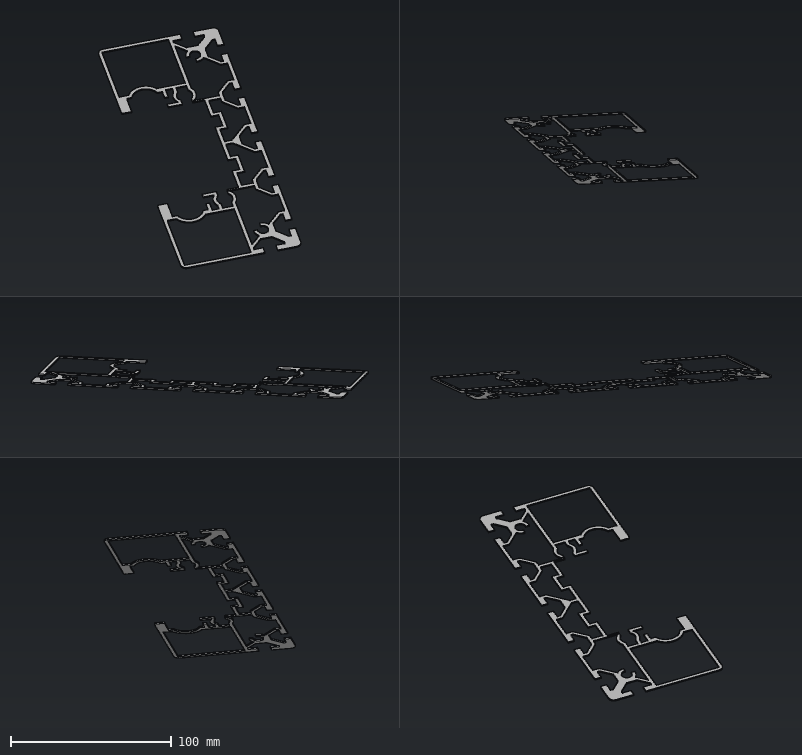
import cadquery as cq


width = 200.0
height = 78.0
thickness = 1.0
side = width / 2
corner_radius = 3.5

slot_pitch = 40.0
slot_opening = 8.2
slot_inner_width = 20.0
lip_depth = 4.5
slot_shoulder_depth = 6.0
slot_floor_depth = 12.5

rib_width = 15.0
rib_groove_width = 10.0
wall = (rib_width - rib_groove_width) / 2
rib_top_depth = 17.5
shelf_depth = 22.5
rib_x = slot_pitch / 2

hollow_shoulder_offset = slot_inner_width / 2 + wall
hollow_shoulder_depth = 6.8
hollow_floor_depth = slot_floor_depth + wall
diagonal_reach = hollow_shoulder_offset + hollow_shoulder_depth

corner_slot_x = 2 * slot_pitch
hook_depth = side - corner_slot_x
hook_bore = 6.8
hook_diameter = 11.8
hook_tip = 0.5

chamber_roof_depth = hook_depth + slot_inner_width / 2
mouth_top_depth = chamber_roof_depth + wall
mouth_height = 6.5
mouth_x = slot_pitch
mouth_floor_depth = mouth_top_depth + mouth_height
port_depth = mouth_top_depth + mouth_height / 2
chamber_side_x = 57.5
port_x = 47.5
port_radius = 5.0
port_outer_radius = 7.5
catch_end_depth = 48.5
stub_tip_x = 48.5

channel_x = 50.5
channel_depth = 60.0
channel_radius = 9.0
channel_face_x = 54.0
foot_tip_x = 42.0
foot_height = 6.5
foot_top_depth = height - foot_height
foot_radius = 1.0


def prism(points):
    """Extrude a closed outline of (x, depth) points through the slice thickness."""
    return cq.Workplane("XY").polyline([(x, -depth) for x, depth in points]).close().extrude(thickness)


def block(x_start, x_end, depth_start, depth_end):
    """Rectangular piece between two x positions and two depths."""
    corners = [(x_start, depth_start), (x_end, depth_start), (x_end, depth_end), (x_start, depth_end)]
    return prism(corners)


def disc(x, depth, radius):
    """Round piece centred at an x position and depth."""
    return cq.Workplane("XY").center(x, -depth).circle(radius).extrude(thickness)


def slot_outline(center_x):
    """T-slot with 45 degree flanks, open at depth 0."""
    floor_half = slot_inner_width / 2 - (slot_floor_depth - slot_shoulder_depth)
    right = [
        (slot_opening / 2, 0),
        (slot_opening / 2, lip_depth),
        (slot_inner_width / 2, lip_depth),
        (slot_inner_width / 2, slot_shoulder_depth),
        (floor_half, slot_floor_depth),
    ]
    left = [(-x, depth) for x, depth in reversed(right)]
    return [(center_x + x, depth) for x, depth in right + left]


def side_slot():
    """The outermost top slot reflected across the corner diagonal into the side face."""
    return prism([(side - depth, side - x) for x, depth in slot_outline(corner_slot_x)])


def rib_hollow():
    """Hollow between the central and the next slot, with the shelf rib rising into it."""
    web_half = wall / 2
    floor_offset = diagonal_reach - hollow_floor_depth
    return prism([
        (hollow_shoulder_offset, wall),
        (slot_pitch - hollow_shoulder_offset, wall),
        (slot_pitch - hollow_shoulder_offset, hollow_shoulder_depth),
        (slot_pitch - floor_offset, hollow_floor_depth),
        (slot_pitch - web_half, hollow_floor_depth),
        (slot_pitch - web_half, shelf_depth),
        (rib_x + rib_width / 2, shelf_depth),
        (rib_x + rib_width / 2, rib_top_depth),
        (rib_x - rib_width / 2, rib_top_depth),
        (rib_x - rib_width / 2, shelf_depth),
        (web_half, shelf_depth),
        (web_half, diagonal_reach - web_half),
        (hollow_shoulder_offset, hollow_shoulder_depth),
    ])


def corner_hollow():
    """Hollow between the two outer slots, down to the chamber roof and the screw port."""
    floor_offset = diagonal_reach - hollow_floor_depth
    web_face_x = slot_pitch + wall / 2
    left_shoulder_x = slot_pitch + hollow_shoulder_offset
    right_shoulder_x = corner_slot_x - hollow_shoulder_offset
    diagonal_end_x = right_shoulder_x + chamber_roof_depth - hollow_shoulder_depth
    return prism([
        (left_shoulder_x, wall),
        (right_shoulder_x, wall),
        (right_shoulder_x, hollow_shoulder_depth),
        (diagonal_end_x, chamber_roof_depth),
        (port_x, chamber_roof_depth),
        (port_x, mouth_top_depth),
        (web_face_x, mouth_top_depth),
        (web_face_x, hollow_floor_depth),
        (slot_pitch + floor_offset, hollow_floor_depth),
        (left_shoulder_x, hollow_shoulder_depth),
    ])


def add_screw_hook(body):
    """C-shaped screw hook, open towards the inside of the profile."""
    radius = hook_diameter / 2
    tip_x = corner_slot_x - hook_tip
    gap = block(tip_x - radius, tip_x, hook_depth + hook_tip, hook_depth + hook_tip + radius)
    hook = disc(corner_slot_x, hook_depth, radius).cut(gap)
    return body.union(hook).cut(disc(corner_slot_x, hook_depth, hook_bore / 2))


def make_head():
    """Slotted top with its hollows, stepped shelf and the roof of the leg chamber."""
    head = block(0, side, 0, mouth_top_depth)
    under_shelf = block(0, mouth_x, shelf_depth + wall, mouth_top_depth)
    groove_half = rib_groove_width / 2
    rib_groove = block(rib_x - groove_half, rib_x + groove_half, rib_top_depth + wall, shelf_depth + wall)
    head = head.cut(under_shelf).cut(rib_groove).cut(rib_hollow()).cut(corner_hollow())
    for slot_x in (0, slot_pitch, corner_slot_x):
        head = head.cut(prism(slot_outline(slot_x)))
    return add_screw_hook(head.cut(side_slot()))


def make_leg():
    """Chamber walls, screw port, catch, stub, round channel and foot."""
    inner_face_x = chamber_side_x - wall
    walls = [
        block(side - wall, side, chamber_roof_depth, height),
        block(foot_tip_x, side, height - wall, height),
        block(inner_face_x, chamber_side_x, chamber_roof_depth, channel_depth),
        block(channel_face_x, channel_face_x + wall, channel_depth, height),
        block(channel_face_x, inner_face_x, catch_end_depth - wall, channel_depth),
        block(foot_tip_x, channel_face_x + wall, foot_top_depth, height),
        block(port_x, inner_face_x, mouth_floor_depth, mouth_floor_depth + wall),
        block(mouth_x, mouth_x + wall, mouth_floor_depth, catch_end_depth),
        block(stub_tip_x, inner_face_x, catch_end_depth - wall, catch_end_depth),
    ]
    port_ring = disc(port_x, port_depth, port_outer_radius)
    port_ring = port_ring.cut(block(mouth_x - wall, inner_face_x, mouth_top_depth, mouth_floor_depth))
    channel = disc(channel_x, channel_depth, channel_radius + wall)
    channel = channel.cut(block(mouth_x - wall, channel_face_x, catch_end_depth, foot_top_depth))
    leg = port_ring
    for piece in walls:
        leg = leg.union(piece)
    return leg.union(channel).cut(disc(channel_x, channel_depth, channel_radius))


def make_half():
    """Head and leg joined, with the screw port bored and the outer and foot corners rounded."""
    half = make_head().union(make_leg()).cut(disc(port_x, port_depth, port_radius))
    for depth in (0, height):
        half = half.edges(cq.NearestToPointSelector((side, -depth, thickness / 2))).fillet(corner_radius)
    foot_corner = cq.NearestToPointSelector((foot_tip_x, -height, thickness / 2))
    return half.edges(foot_corner).fillet(foot_radius)


right_half = make_half()
result = right_half.union(right_half.mirror("YZ")).clean()